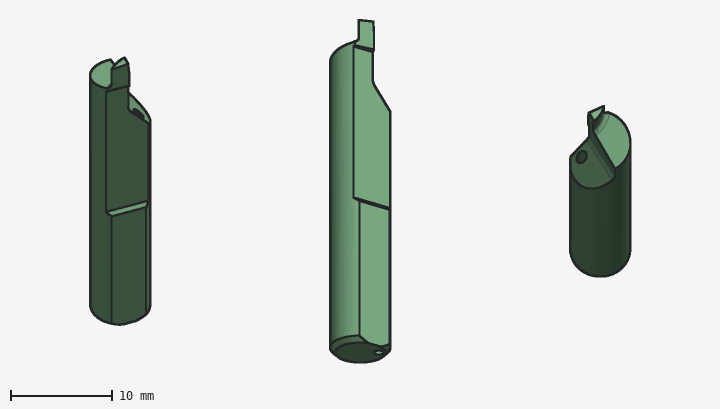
import cadquery as cq
import math

total_length = 35.0
shank_diameter = 6.0
shank_radius = shank_diameter / 2
end_chamfer = 0.52
overall_width = 5.35
clamping_flat_x = overall_width - shank_radius
outside = 2 * shank_diameter

rake_face_y = 0.1
ramp_outer_z = 25.05
ramp_angle = math.radians(50)
ramp_fillet = 1.33
tip_rake_offset = 0.1
tip_rake_start_z = 33.75

neck_flat_x = 1.95
neck_step_bottom_z = 15.1
neck_step_height = clamping_flat_x - neck_flat_x

tooth_left_x = 1.22
tooth_right_x = 2.2
tooth_base_z = 32.0
tooth_undercut_height = 0.18
tooth_straight_y = -0.25
tooth_heel = (2.1, -1.7)
tooth_arc_middle = (1.55, -1.0)
tooth_side_relief = math.radians(3)
tooth_top_relief = math.radians(8)
tooth_root_fillet = 0.6

shoulder_left_z = 31.05
shoulder_angle = math.radians(14)

hole_x = 1.1
hole_y = 1.5
hole_diameter = 0.98


def prism_along_x(points):
    """Prism through the whole shank from a (y, z) outline."""
    return cq.Workplane("YZ").polyline(points).close().extrude(outside, both=True)


def prism_along_y(points):
    """Prism through the whole shank from an (x, z) outline."""
    return cq.Workplane("XZ").polyline(points).close().extrude(outside, both=True)


def make_shank():
    shank = cq.Workplane("XY").circle(shank_radius).extrude(total_length)
    shank = shank.faces("<Z").chamfer(end_chamfer)
    hole = cq.Workplane("XY").center(hole_x, hole_y).circle(hole_diameter / 2).extrude(total_length)
    return shank.cut(hole)


def rake_cutter():
    slope = math.tan(ramp_angle)
    ramp_top_z = ramp_outer_z + (shank_radius - rake_face_y) * slope
    ramp_end_z = ramp_outer_z - (outside - shank_radius) * slope
    cutter = prism_along_x([
        (rake_face_y, ramp_top_z),
        (outside, ramp_end_z),
        (outside, total_length + outside),
        (rake_face_y, total_length + outside),
    ])
    ramp_edge = cq.selectors.NearestToPointSelector((0, rake_face_y, ramp_top_z))
    return cutter.edges(ramp_edge).fillet(ramp_fillet)


def tip_rake_cutter():
    return prism_along_x([
        (rake_face_y, tip_rake_start_z),
        (rake_face_y, total_length),
        (rake_face_y - tip_rake_offset, total_length),
    ])


def side_cutter():
    """Clamping flat, neck clearance and tooth undercut in one stepped outline."""
    return prism_along_y([
        (clamping_flat_x, 0),
        (clamping_flat_x, neck_step_bottom_z),
        (neck_flat_x, neck_step_bottom_z + neck_step_height),
        (neck_flat_x, tooth_base_z - tooth_undercut_height),
        (tooth_right_x, tooth_base_z),
        (tooth_right_x, total_length),
        (outside, total_length),
        (outside, 0),
    ])


def shoulder_cutter():
    """Space left of the tooth, with a rounded lower edge that blends into the sloped shoulder."""
    outline = (
        cq.Workplane("XY").workplane(offset=shoulder_left_z / 2)
        .moveTo(tooth_left_x, outside)
        .lineTo(tooth_left_x, tooth_straight_y)
        .threePointArc(tooth_arc_middle, tooth_heel)
        .lineTo(shank_radius, -shank_radius)
        .lineTo(shank_radius, -outside)
        .lineTo(-outside, -outside)
        .lineTo(-outside, outside)
        .close()
    )
    slope = math.tan(shoulder_angle)
    left_end_z = shoulder_left_z - (outside - shank_radius) * slope
    right_end_z = shoulder_left_z + (outside + shank_radius) * slope
    above_shoulder = prism_along_y([
        (-outside, left_end_z),
        (outside, right_end_z),
        (outside, total_length + outside),
        (-outside, total_length + outside),
    ])
    cutter = outline.extrude(total_length).intersect(above_shoulder)
    root_margin = 0.35
    root_box = cq.selectors.BoxSelector(
        (tooth_left_x - root_margin, -shank_radius, shoulder_left_z),
        (shank_radius, outside, total_length - root_margin),
    )
    return cutter.faces("<Z").edges(root_box).fillet(tooth_root_fillet)


def side_relief_cutter():
    relief = outside * math.tan(tooth_side_relief)
    outline = [
        (tooth_right_x, rake_face_y),
        (outside, rake_face_y),
        (outside, rake_face_y - outside),
        (tooth_right_x - relief, rake_face_y - outside),
    ]
    base = cq.Workplane("XY").workplane(offset=tooth_base_z - tooth_undercut_height)
    return base.polyline(outline).close().extrude(outside)


def top_relief_cutter():
    return prism_along_x([
        (0, total_length),
        (-outside, total_length),
        (-outside, total_length - outside * math.tan(tooth_top_relief)),
    ])


result = make_shank()
for cutter in (
    rake_cutter(),
    side_cutter(),
    shoulder_cutter(),
    side_relief_cutter(),
    tip_rake_cutter(),
    top_relief_cutter(),
):
    result = result.cut(cutter)